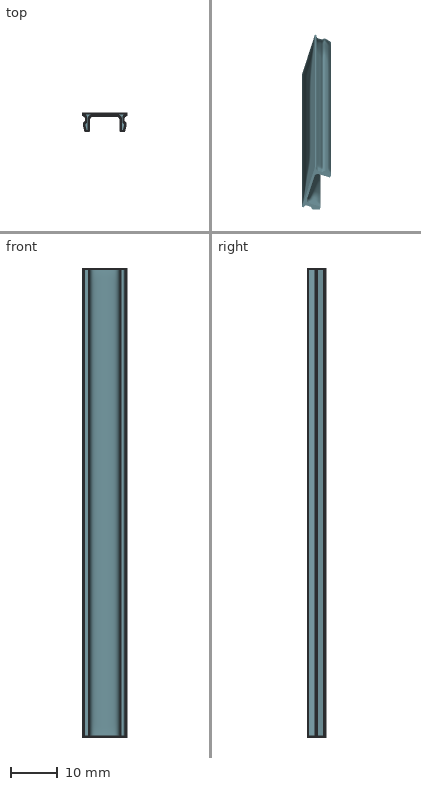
import cadquery as cq

width = 9.3
depth = 3.8
length = 100.0

plate_thickness = 0.5
rim_thickness = 0.3
corner_radius = 0.8

leg_outer_half_span = 4.05
leg_inner_half_span = 3.4
underside_bevel_height = 0.3
underside_fillet_radius = 0.5
tip_radius = 0.2

barb_half_span = 4.45
barb_shoulder_depth = 1.8
barb_shoulder_height = 0.35
barb_flat_height = 0.25
tip_half_span = 4.1

half_width = width / 2
top_y = depth / 2
tip_y = -depth / 2
plate_inner_y = top_y - plate_thickness
rim_y = top_y - rim_thickness
bevel_end_y = rim_y - underside_bevel_height
shoulder_y = top_y - barb_shoulder_depth
barb_top_y = shoulder_y - barb_shoulder_height
barb_bottom_y = barb_top_y - barb_flat_height


def half_section():
    """Right half of the cross-section, closed along the symmetry plane."""
    return (
        cq.Workplane("XY")
        .moveTo(0, top_y)
        .lineTo(half_width, top_y)
        .lineTo(half_width, rim_y)
        .lineTo(leg_outer_half_span, bevel_end_y)
        .lineTo(leg_outer_half_span, shoulder_y)
        .lineTo(barb_half_span, barb_top_y)
        .lineTo(barb_half_span, barb_bottom_y)
        .lineTo(tip_half_span, tip_y)
        .lineTo(leg_inner_half_span, tip_y)
        .lineTo(leg_inner_half_span, plate_inner_y - corner_radius)
        .radiusArc((leg_inner_half_span - corner_radius, plate_inner_y), -corner_radius)
        .lineTo(0, plate_inner_y)
        .close()
    )


def cover_strip():
    """Extrude one half along Z, round its underside corner and leg tip, and mirror it about the YZ plane."""
    half = half_section().extrude(length / 2, both=True).clean()
    underside_corner = cq.selectors.NearestToPointSelector((leg_outer_half_span, bevel_end_y, 0))
    half = half.edges("|Z").edges(underside_corner).fillet(underside_fillet_radius)
    half = half.faces("<Y").edges("|Z").fillet(tip_radius)
    return half.union(half.mirror("YZ")).clean()


result = cover_strip()